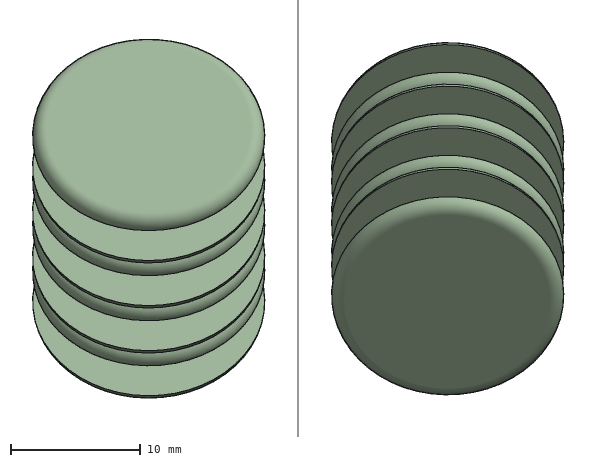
import cadquery as cq

total_height = 24.0
outer_diameter = 18.0
pair_count = 4
disc_thickness = 1.0

pair_height = total_height / pair_count
outer_radius = outer_diameter / 2
flat_radius = outer_radius - disc_thickness


def make_disc(flat_z, direction):
    """Disc with its full face at flat_z, rounding over to a smaller face.

    The smaller face lies above the full face for direction +1, below it for -1.
    """
    small_face_z = flat_z + direction * disc_thickness
    rim_offset = disc_thickness * 0.5 ** 0.5
    rim_middle = (flat_radius + rim_offset, flat_z + direction * rim_offset)
    return (
        cq.Workplane("XZ")
        .moveTo(0, flat_z)
        .lineTo(outer_radius, flat_z)
        .threePointArc(rim_middle, (flat_radius, small_face_z))
        .lineTo(0, small_face_z)
        .close()
        .revolve(360, (0, 0, 0), (0, 1, 0))
    )


lower_discs = []
upper_discs = []
for pair in range(pair_count):
    pair_bottom = pair * pair_height
    pair_top = pair_bottom + pair_height
    lower_discs.append(make_disc(pair_bottom + disc_thickness, -1))
    upper_discs.append(make_disc(pair_top - disc_thickness, 1))

result = cq.Compound.makeCompound([disc.val() for disc in lower_discs + upper_discs])